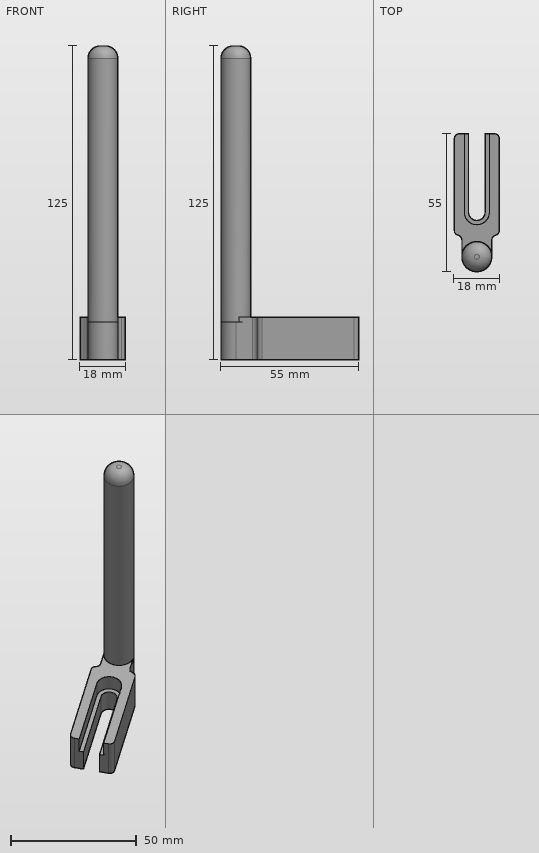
import cadquery as cq
import math

total_height = 125.0
total_length = 55.0

rod_radius = 6.0
rod_tip_fillet = 5.0
seat_depth = 2.0
seat_clearance = 0.1

bracket_height = 17.0
fork_width = 18.0
shoulder_radius = 2.0
fork_side_length = 38.5
fork_corner_radius = 2.0

slot_width = 6.5
slot_upper_width = 10.0
slot_upper_depth = 7.0
slot_center_from_back = 31.2

seat_z = bracket_height - seat_depth
seat_radius = rod_radius + seat_clearance
back_y = total_length - rod_radius
slot_center_y = back_y - slot_center_from_back
shoulder_start_y = back_y - fork_side_length


def bracket_blank():
    """Fork with S-shaped shoulders narrowing to a neck with a round nose."""
    half_width = fork_width / 2
    half_step = (half_width - rod_radius) / 2
    sweep = math.acos(1 - half_step / shoulder_radius)
    half_length = shoulder_radius * math.sin(sweep)
    mid_x = half_width - half_step
    mid_y = shoulder_start_y - half_length
    neck_y = shoulder_start_y - 2 * half_length
    arc_dx = shoulder_radius * (1 - math.cos(sweep / 2))
    arc_dy = shoulder_radius * math.sin(sweep / 2)

    profile = (
        cq.Workplane("XY")
        .moveTo(-half_width, back_y)
        .lineTo(half_width, back_y)
        .lineTo(half_width, shoulder_start_y)
        .threePointArc((half_width - arc_dx, shoulder_start_y - arc_dy), (mid_x, mid_y))
        .threePointArc((rod_radius + arc_dx, neck_y + arc_dy), (rod_radius, neck_y))
        .lineTo(rod_radius, 0)
        .threePointArc((0, -rod_radius), (-rod_radius, 0))
        .lineTo(-rod_radius, neck_y)
        .threePointArc((-rod_radius - arc_dx, neck_y + arc_dy), (-mid_x, mid_y))
        .threePointArc((-half_width + arc_dx, shoulder_start_y - arc_dy), (-half_width, shoulder_start_y))
        .close()
    )
    blank = profile.extrude(bracket_height)
    return blank.edges("|Z and >Y").fillet(fork_corner_radius)


def slot_cutter(width, bottom_z):
    """Round-ended slot from the back of the fork, open at the top."""
    radius = width / 2
    return (
        cq.Workplane("XY", origin=(0, 0, bottom_z))
        .moveTo(-radius, back_y)
        .lineTo(-radius, slot_center_y)
        .threePointArc((0, slot_center_y - radius), (radius, slot_center_y))
        .lineTo(radius, back_y)
        .close()
        .extrude(bracket_height - bottom_z)
    )


def make_bracket():
    """Forked bracket with a stepped slot and a shallow round seat for the rod."""
    rod_seat = cq.Workplane("XY", origin=(0, 0, seat_z)).circle(seat_radius).extrude(seat_depth)
    return (
        bracket_blank()
        .cut(slot_cutter(slot_width, 0))
        .cut(slot_cutter(slot_upper_width, bracket_height - slot_upper_depth))
        .cut(rod_seat)
    )


def make_rod():
    """Round rod standing in the seat, with a rounded tip."""
    rod = cq.Workplane("XY", origin=(0, 0, seat_z)).circle(rod_radius).extrude(total_height - seat_z)
    return rod.edges(">Z").fillet(rod_tip_fillet)


bracket = make_bracket()
rod = make_rod()

result = cq.Compound.makeCompound([bracket.val(), rod.val()])